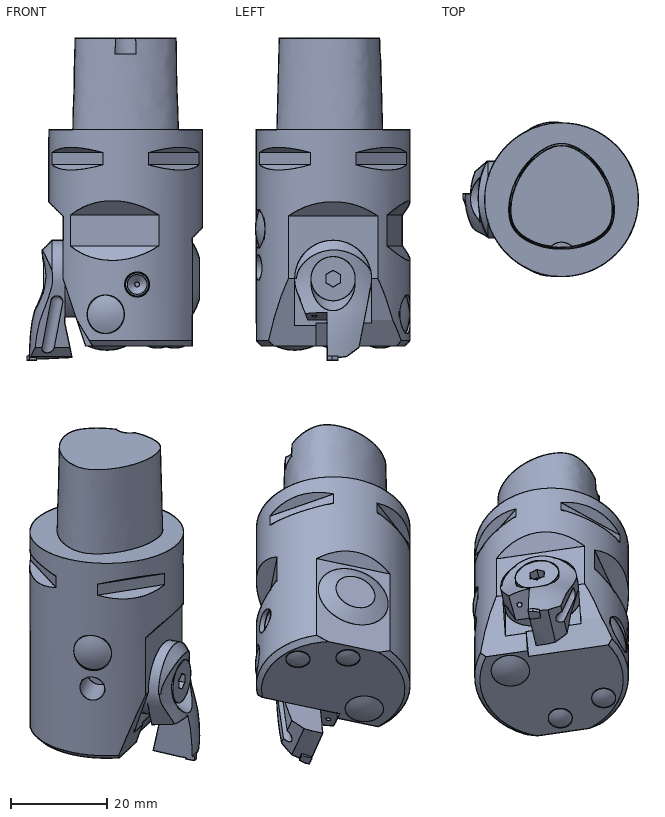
import cadquery as cq
import math


body_radius = 16.0
body_length = 45.0
bottom_chamfer = 1.1

shank_length = 19.0
shank_diameter = 22.0
shank_taper = 1 / 20
lobe_height = 0.7
key_radius = 3.0
key_depth = 3.3
key_inset = 1.0

slot_z = -6.05
slot_flat_distance = 14.15
slot_flat_height = 2.5
slot_bevel_rise = 1.1
slot_angles = [45, 135, 225, 315]

pocket_angle = -100
pocket_flat_distance = 13.0
pocket_z = -21.0
pocket_flat_height = 6.4

seat_z = -31.0
seat_flat_distance = 13.0
seat_flat_top = -18.0
seat_slope_run = 4.67
relief_top_z = -39.6
relief_run_per_drop = 0.61
relief_edge_y = 3.6
rear_flat_distance = 13.87
rear_flat_top = -22.5

cartridge_radius = 8.0
cartridge_seat_x = -9.75
cone_start_x = -15.3
cone_length = 7.0
arm_back_x = -12.6
arm_edge_y = 1.25
arm_side_angle = 11
lobe_side_angle = 21
arm_length = 48.0
lobe_bottom_z = -39.6
lobe_slope = 0.25
arm_outer_limit = 23.0
outer_axis_lean = 0.38
outer_axis_y = 0.35
outer_top_z = -15.0
outer_bottom_z = -49.5
outer_upright_x = -17.3
outer_swell_z = -30.5
outer_waist = (-18.25, -35.4)
outer_shoulder = (-19.4, -39.6)
outer_tip_x = -20.2
arm_heel_x = -11.1
arm_heel_top_z = -40.3
arm_heel_rise = 0.6
tip_land_z = -47.7
tip_land_end = (-2.83, -47.2)
tip_bevel_end_z = -45.3
lip_top_z = -47.05
lip_x = -20.5
lip_heel_y = -1.05
lip_land = 1.0
lip_relief = 0.5
lip_thickness = 2.0
groove_radius = 1.25
groove_top = (-14.3, -35.8)
groove_bottom = (-16.5, -47.5)
spray_diameter = 1.0
spray_point = (-15.8, 3.9)
spray_top_z = -36.5

head_diameter = 9.2
head_face_x = -17.1
head_height = 3.0
opening_start_x = -15.1
opening_drop = 0.54
screw_diameter = 6.0
screw_end_x = 8.0
hex_across_flats = 3.0
hex_depth = 2.0
bush_diameter = 7.7
bush_start_x = 2.0
cap_radius = 7.6
cap_height = 1.53
cap_dome_radius = 14.4

nozzle_diameter = 5.2
nozzle_x = 2.4
nozzle_z = -32.2
nozzle_face_y = -15.0
nozzle_length = 4.0
nozzle_chamfer = 0.2
nozzle_cone_diameter = 4.1
nozzle_bore = 1.0
side_hole_diameter = 5.25
side_hole_z = -28.7
side_hole_depth = 8.0
side_angle = 103

large_plug = {"radius": 4.0, "crown": 0.9, "depth": 3.0}
small_plug = {"radius": 2.5, "crown": 0.6, "depth": 2.5}


def radial_plane(angle, z, distance):
    """Plane at a distance from the tool axis, with its normal pointing straight out."""
    outward = (math.cos(math.radians(angle)), math.sin(math.radians(angle)), 0)
    origin = (distance * outward[0], distance * outward[1], z)
    return cq.Plane(origin=origin, xDir=(0, 0, 1), normal=outward)


def bottom_plug_plane(x, y, projection):
    """Plane at a plug apex below the body, with its normal pointing down."""
    return cq.Plane(origin=(x, y, -body_length - projection), xDir=(1, 0, 0), normal=(0, 0, -1))


plug_places = [
    (large_plug, radial_plane(angle=-105.5, z=-38.4, distance=16.2)),
    (large_plug, radial_plane(angle=side_angle, z=-20.6, distance=16.36)),
    (large_plug, bottom_plug_plane(x=-3.85, y=8.0, projection=0.9)),
    (small_plug, bottom_plug_plane(x=6.65, y=-9.8, projection=0.45)),
    (small_plug, bottom_plug_plane(x=10.2, y=0.0, projection=0.45)),
]


def x_cylinder(radius, start_x, end_x):
    """Cylinder along X through the seat centre."""
    plane = cq.Plane(origin=(start_x, 0, seat_z), xDir=(0, 1, 0), normal=(1, 0, 0))
    return cq.Workplane(plane).circle(radius).extrude(end_x - start_x)


def xz_prism(points, start_y, end_y):
    """Outline of (x, z) points extruded from start_y to end_y."""
    plane = cq.Plane(origin=(0, start_y, 0), xDir=(1, 0, 0), normal=(0, -1, 0))
    return cq.Workplane(plane).polyline(points).close().extrude(start_y - end_y)


def bevelled_slot(angle, flat_distance, middle_z, flat_height, bevel_rise):
    """Cutter for a flat across the body side, with sloped ends above and below."""
    half_flat = flat_height / 2
    half_mouth = half_flat + 2 * bevel_rise
    mouth = flat_distance + 2 * (body_radius - flat_distance)
    points = [
        (flat_distance, middle_z - half_flat),
        (mouth, middle_z - half_mouth),
        (mouth, middle_z + half_mouth),
        (flat_distance, middle_z + half_flat),
    ]
    cutter = xz_prism(points, -body_radius, body_radius)
    return cutter.rotate((0, 0, 0), (0, 0, 1), angle)


def lobed_wire(z):
    """Three-lobed coupling outline at height z, with one lobe toward +Y."""
    radius = (shank_diameter - shank_taper * z) / 2

    def point(t):
        turn = 2 * math.pi * t
        reach = radius + lobe_height * math.cos(3 * turn)
        sway = -3 * lobe_height * math.sin(3 * turn)
        along = reach * math.cos(turn) - sway * math.sin(turn)
        across = reach * math.sin(turn) + sway * math.cos(turn)
        return (-across, along)

    curve = cq.Workplane("XY", origin=(0, 0, z)).parametricCurve(point, N=90)
    return curve.val()


def make_shank():
    shank = cq.Workplane(cq.Solid.makeLoft([lobed_wire(0), lobed_wire(shank_length)], True))
    end_radius = (shank_diameter - shank_taper * shank_length) / 2
    key_y = -(end_radius - lobe_height - key_inset + key_radius)
    key = (
        cq.Workplane("XY", origin=(0, key_y, shank_length - key_depth))
        .circle(key_radius)
        .extrude(key_depth)
    )
    return shank.cut(key)


def cut_seat_side(body):
    """-X side: upper flat, sloped lower face, steeper relief and the cartridge recess."""
    flat_x = -seat_flat_distance
    seat_depth = body_radius - seat_flat_distance
    slope = seat_slope_run / (body_length + seat_z)
    clear_x = -2 * body_radius
    clear_rise = seat_flat_top + (flat_x - clear_x)
    face = [
        (flat_x, seat_flat_top),
        (flat_x, seat_z),
        (flat_x + seat_slope_run, -body_length),
        (clear_x, -body_length),
        (clear_x, clear_rise),
    ]
    body = body.cut(xz_prism(face, -body_radius, body_radius))

    relief_x = flat_x + slope * (seat_z - relief_top_z)
    relief_end_x = relief_x + relief_run_per_drop * (body_length + relief_top_z)
    relief = [
        (relief_x, relief_top_z),
        (relief_end_x, -body_length),
        (relief_x - seat_depth, -body_length),
        (relief_x - seat_depth, relief_top_z),
    ]
    body = body.cut(xz_prism(relief, -body_radius, relief_edge_y))

    recess_outline = [
        (cartridge_seat_x, seat_z),
        (cartridge_seat_x, -body_length),
        (-body_radius, -body_length),
        (-body_radius, seat_z),
    ]
    recess = xz_prism(recess_outline, -cartridge_radius, cartridge_radius)
    recess = recess.union(x_cylinder(cartridge_radius, -body_radius, cartridge_seat_x))
    return body.cut(recess)


def cut_rear_side(body):
    """+X side: a flat with a 45 degree shoulder."""
    reach = body_radius
    face = [
        (rear_flat_distance, rear_flat_top),
        (rear_flat_distance, -body_length),
        (rear_flat_distance + reach, -body_length),
        (rear_flat_distance + reach, rear_flat_top + reach),
    ]
    return body.cut(xz_prism(face, -body_radius, body_radius))


def plug_hole(size, plane):
    """Cutter for the hole that holds one domed plug, open to the outside."""
    hole = cq.Workplane(plane).workplane(offset=-size["depth"]).circle(size["radius"])
    return hole.extrude(size["depth"] + size["crown"])


def make_body():
    body = cq.Workplane("XY").circle(body_radius).extrude(-body_length)
    body = body.faces("<Z").chamfer(bottom_chamfer)
    for angle in slot_angles:
        body = body.cut(
            bevelled_slot(angle, slot_flat_distance, slot_z, slot_flat_height, slot_bevel_rise)
        )
    pocket_rise = body_radius - pocket_flat_distance
    body = body.cut(
        bevelled_slot(pocket_angle, pocket_flat_distance, pocket_z, pocket_flat_height, pocket_rise)
    )
    body = cut_seat_side(body)
    body = cut_rear_side(body)
    body = body.union(make_shank())

    body = body.cut(x_cylinder(screw_diameter / 2, cartridge_seat_x, bush_start_x))
    body = body.cut(x_cylinder(bush_diameter / 2, bush_start_x, rear_flat_distance))
    nozzle_hole = (
        cq.Workplane("XZ", origin=(nozzle_x, nozzle_face_y + nozzle_length, nozzle_z))
        .circle(nozzle_diameter / 2)
        .extrude(2 * nozzle_length)
    )
    side_hole = cq.Workplane(radial_plane(side_angle, side_hole_z, body_radius))
    side_hole = side_hole.circle(side_hole_diameter / 2).extrude(-side_hole_depth)
    body = body.cut(nozzle_hole).cut(side_hole)
    for size, plane in plug_places:
        body = body.cut(plug_hole(size, plane))
    return body


def outer_axis_x(z):
    """X of the leaning axis of the outer face at height z; it crosses X = 0 at the seat centre."""
    return (z - seat_z) * outer_axis_lean


def make_outer_envelope():
    """Volume under the outer face: a profile turned about an axis that leans toward the tip."""
    axis_top = (outer_axis_x(outer_top_z), outer_top_z)
    axis_bottom = (outer_axis_x(outer_bottom_z), outer_bottom_z)
    plane = cq.Plane(origin=(0, outer_axis_y, 0), xDir=(1, 0, 0), normal=(0, -1, 0))
    face_points = [
        (outer_upright_x, seat_z + cartridge_radius / 2),
        (outer_upright_x, outer_swell_z),
        outer_waist,
        outer_shoulder,
        (outer_tip_x, outer_bottom_z),
    ]
    return (
        cq.Workplane(plane)
        .moveTo(*axis_top)
        .lineTo(outer_upright_x, outer_top_z)
        .spline(face_points, tangents=[(0, -1), (-0.1, -1)], includeCurrent=True)
        .lineTo(*axis_bottom)
        .close()
        .revolve(360, axis_top, axis_bottom)
    )


def rim_point(angle, side):
    """Point (y, z) on the disc rim, at an angle below its middle; a side line with
    that lean touches the rim there."""
    lean = math.radians(angle)
    return (
        side * cartridge_radius * math.cos(lean),
        seat_z - cartridge_radius * math.sin(lean),
    )


def lean_to(start, angle, side, z):
    """Point (y, z) at height z on the side line that leans inward from start."""
    return (start[0] - side * (start[1] - z) * math.tan(math.radians(angle)), z)


def make_arm():
    near_tangent = rim_point(arm_side_angle, -1)
    far_tangent = rim_point(lobe_side_angle, 1)
    outline = [
        near_tangent,
        lean_to(near_tangent, arm_side_angle, -1, tip_bevel_end_z),
        tip_land_end,
        (arm_edge_y, tip_land_z),
        (arm_edge_y, lobe_bottom_z),
        lean_to(far_tangent, lobe_side_angle, 1, lobe_bottom_z),
        far_tangent,
    ]
    thickness = arm_outer_limit + arm_heel_x
    arm = (
        cq.Workplane("YZ", origin=(-arm_outer_limit, 0, 0))
        .polyline(outline)
        .threePointArc(rim_point(lobe_side_angle / 2, 1), rim_point(0, 1))
        .lineTo(*rim_point(0, -1))
        .threePointArc(rim_point(arm_side_angle / 2, -1), near_tangent)
        .close()
        .extrude(thickness)
    )
    section = [
        (arm_back_x, seat_z),
        (arm_back_x, arm_heel_top_z),
        (arm_heel_x, -arm_length + arm_heel_rise),
        (-arm_outer_limit, -arm_length),
        (-arm_outer_limit, seat_z),
    ]
    arm = arm.intersect(xz_prism(section, -cartridge_radius, cartridge_radius))

    lobe_rise = lobe_slope * (arm_back_x + arm_outer_limit)
    under_lobe = [
        (arm_back_x, lobe_bottom_z),
        (-arm_outer_limit, lobe_bottom_z + lobe_rise),
        (-arm_outer_limit, lobe_bottom_z),
    ]
    return arm.cut(xz_prism(under_lobe, arm_edge_y, cartridge_radius))


def make_lip():
    """Cutting lip standing out from the corner of the tip."""
    back_x = lip_x + lip_thickness
    outline = [
        (lip_x, arm_edge_y),
        (lip_x, arm_edge_y - lip_land),
        (lip_x + lip_relief, lip_heel_y),
        (back_x, lip_heel_y),
        (back_x, arm_edge_y),
    ]
    lip = cq.Workplane("XY", origin=(0, 0, -arm_length)).polyline(outline).close()
    return lip.extrude(arm_length + lip_top_z)


def make_groove():
    """Ball-ended groove whose axis lies in the leaning -Y face of the arm."""
    tangent = rim_point(arm_side_angle, -1)
    ends = []
    for x, z in (groove_top, groove_bottom):
        y = lean_to(tangent, arm_side_angle, -1, z)[0]
        ends.append(cq.Vector(x, y, z))
    direction = ends[1] - ends[0]
    run = cq.Solid.makeCylinder(groove_radius, direction.Length, ends[0], direction)
    ball = cq.Workplane("XY", origin=ends[0].toTuple()).sphere(groove_radius)
    return cq.Workplane(run).union(ball)


def make_head_opening():
    """Round opening below the screw head that leans down as it runs outward."""
    end_x = -arm_outer_limit
    drop = opening_drop * (opening_start_x - end_x)
    radius = head_diameter / 2
    along_x = cq.Vector(1, 0, 0)
    start = cq.Wire.makeCircle(radius, cq.Vector(opening_start_x, 0, seat_z), along_x)
    end = cq.Wire.makeCircle(radius, cq.Vector(end_x, 0, seat_z - drop), along_x)
    return cq.Workplane(cq.Solid.makeLoft([start, end], True))


def make_cartridge():
    disc = x_cylinder(cartridge_radius, cone_start_x - cone_length, cartridge_seat_x)
    disc = disc.faces("<X").chamfer(cone_length)
    envelope = make_outer_envelope()
    cartridge = make_arm().intersect(envelope).union(disc.intersect(envelope))
    cartridge = cartridge.union(make_lip())
    cartridge = cartridge.cut(x_cylinder(head_diameter / 2, -arm_outer_limit, head_face_x + head_height))
    cartridge = cartridge.cut(make_head_opening())
    cartridge = cartridge.cut(x_cylinder(screw_diameter / 2, head_face_x, cartridge_seat_x))
    cartridge = cartridge.cut(make_groove())
    spray_hole = (
        cq.Workplane("XY", origin=(*spray_point, spray_top_z))
        .circle(spray_diameter / 2)
        .extrude(lobe_bottom_z - spray_top_z)
    )
    return cartridge.cut(spray_hole)


def make_clamp_screw():
    screw = x_cylinder(head_diameter / 2, head_face_x, head_face_x + head_height)
    screw = screw.union(x_cylinder(screw_diameter / 2, head_face_x, screw_end_x))
    hex_plane = cq.Plane(origin=(head_face_x, 0, seat_z), xDir=(0, 0, 1), normal=(1, 0, 0))
    across_corners = hex_across_flats / math.cos(math.radians(30))
    socket = cq.Workplane(hex_plane).polygon(6, across_corners).extrude(hex_depth)
    return screw.cut(socket)


def make_clamp_nut():
    """Plain-bored bush with a domed, flat-ended cap resting on the +X flat."""
    dome_centre = -math.sqrt(cap_dome_radius**2 - cap_radius**2)

    def dome_reach(height):
        """Dome radius about the nut axis at a height above the cap base."""
        return math.sqrt(cap_dome_radius**2 - (height - dome_centre) ** 2)

    plane = cq.Plane(origin=(rear_flat_distance, 0, seat_z), xDir=(0, 0, 1), normal=(0, 1, 0))
    middle_height = cap_height / 2
    cap = (
        cq.Workplane(plane)
        .moveTo(0, 0)
        .lineTo(cap_radius, 0)
        .threePointArc((dome_reach(middle_height), middle_height), (dome_reach(cap_height), cap_height))
        .lineTo(0, cap_height)
        .close()
        .revolve(360, (0, 0), (0, 1))
    )
    nut = cap.union(x_cylinder(bush_diameter / 2, bush_start_x, rear_flat_distance))
    return nut.cut(x_cylinder(screw_diameter / 2, bush_start_x, screw_end_x))


def make_nozzle():
    cone_depth = (nozzle_cone_diameter - nozzle_bore) / 2
    radius = nozzle_diameter / 2
    half_section = [
        (nozzle_bore / 2, nozzle_length),
        (radius, nozzle_length),
        (radius, nozzle_chamfer),
        (radius - nozzle_chamfer, 0),
        (nozzle_cone_diameter / 2, 0),
        (nozzle_bore / 2, cone_depth),
    ]
    plane = cq.Plane(origin=(nozzle_x, nozzle_face_y, nozzle_z), xDir=(1, 0, 0), normal=(0, 0, 1))
    return cq.Workplane(plane).polyline(half_section).close().revolve(360, (0, 0), (0, 1))


def make_plug(size, plane):
    """Round plug with a domed outer end whose apex sits at the plane origin."""
    radius = size["radius"]
    crown = size["crown"]
    dome_radius = (radius**2 + crown**2) / (2 * crown)
    blank = cq.Workplane(plane).workplane(offset=-size["depth"]).circle(radius).extrude(size["depth"])
    dome = cq.Workplane(plane).workplane(offset=-dome_radius).sphere(dome_radius)
    return blank.intersect(dome)


body = make_body()
cartridge = make_cartridge()
clamp_screw = make_clamp_screw()
clamp_nut = make_clamp_nut()
nozzle = make_nozzle()
plugs = [make_plug(size, plane).val() for size, plane in plug_places]

result = cq.Compound.makeCompound(
    [body.val(), cartridge.val(), clamp_screw.val(), clamp_nut.val(), nozzle.val(), *plugs]
)